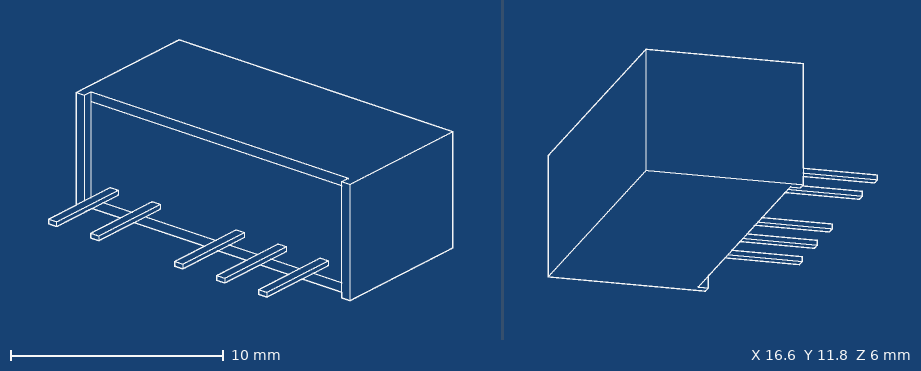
import cadquery as cq

width = 16.55
height = 6.0
overall_depth = 11.8
pin_reach = 4.1
wall = 0.5
side_wall_overhang = 0.5

housing_depth = overall_depth - pin_reach
cavity_width = width - 2 * wall
cavity_height = height - 2 * wall
cavity_depth = housing_depth - side_wall_overhang - wall

pin_width = 0.5
pin_thickness = 0.25
first_pin_inset = 1.9
pin_row_span = 12.7
pin_positions = (0, 1, 3, 4, 5)
pin_pitch = pin_row_span / pin_positions[-1]
pin_center_height = 1.27

side_wall_front = -side_wall_overhang
pin_length = pin_reach + side_wall_overhang
first_pin_x = first_pin_inset - width / 2
pin_z = pin_center_height - height / 2


def block(size_x, size_y, size_z, y_front, x=0.0, z=0.0):
    """Box centred at x and z that runs toward +Y from y_front."""
    return cq.Workplane("XY").box(size_x, size_y, size_z).translate((x, y_front + size_y / 2, z))


def make_housing():
    shell = block(width, housing_depth, height, side_wall_front)
    setback = block(cavity_width, side_wall_overhang, height, side_wall_front)
    cavity = block(cavity_width, cavity_depth, cavity_height, 0.0)
    return shell.cut(setback).cut(cavity)


def make_filling():
    """Potting that fills the cavity flush with its rim."""
    return block(cavity_width, cavity_depth, cavity_height, 0.0)


def make_pin(x):
    """Lead that stands on the front face of the filling."""
    return block(pin_width, pin_length, pin_thickness, -pin_length, x, pin_z)


housing = make_housing()
filling = make_filling()
pins = [make_pin(first_pin_x + position * pin_pitch) for position in pin_positions]

result = cq.Compound.makeCompound([housing.val(), filling.val(), *[pin.val() for pin in pins]])